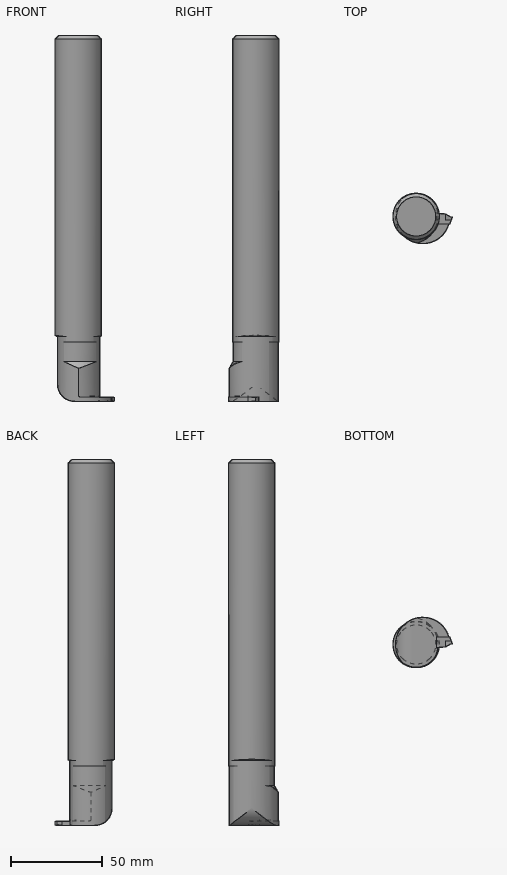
import cadquery as cq
import math

total_length = 200.0
shank_radius = 25.5 / 2
end_chamfer = 2.0

head_radius = 27.6 - shank_radius
outer_center_x = 3.6
post_center_x = -3.0
neck_height = 35.5
runout_height = 0.8
runout_angle = 60.0

core_radius = 12.5
core_top = 32.5
shelf_height = 21.8
shelf_drop = 3.8
shelf_outer_radius = 14.6

flange_thickness = 2.5
heel_radius = 9.5
root_fillet = 0.6
root_angle = math.radians(45)
insert_seat_x = 11.0
insert_back_y = -4.2
insert_front_y = 1.8
insert_shoulder_x = 16.0
insert_shoulder_y = 1.5
insert_mid_x = 17.8
insert_mid_y = 0.5
tip_x = -shank_radius + 32.6
tip_y = -0.2
tip_land_x = 18.8
heel_clearance_x = 18.5
relief_back_y = -2.0
relief_depth = 0.3


def disc(radius, bottom, top, center_x=0.0):
    """Vertical cylinder between two heights."""
    return cq.Workplane("XY", origin=(center_x, 0, bottom)).circle(radius).extrude(top - bottom)


def lens_wire(bottom):
    """Closed outline of the area shared by the two head circles."""
    corner_x = (outer_center_x + post_center_x) / 2
    half_spacing = (outer_center_x - post_center_x) / 2
    corner_y = math.sqrt(head_radius**2 - half_spacing**2)
    return (
        cq.Workplane("XY", origin=(0, 0, bottom))
        .moveTo(corner_x, -corner_y)
        .threePointArc((post_center_x + head_radius, 0), (corner_x, corner_y))
        .threePointArc((outer_center_x - head_radius, 0), (corner_x, -corner_y))
        .close()
    )


def make_shank():
    shank = disc(shank_radius, core_top, total_length).faces(">Z").chamfer(end_chamfer)
    core = disc(core_radius, 0, core_top)
    envelope = lens_wire(0).extrude(neck_height)
    runout = lens_wire(neck_height).extrude(runout_height, taper=-runout_angle)
    upper = disc(2 * head_radius, neck_height + runout_height, total_length)
    return shank.union(core).intersect(envelope.union(runout).union(upper))


def make_front_bulge():
    """Lower front of the head, topped by a shelf that slopes away from the core."""
    slope = shelf_drop / (shelf_outer_radius - core_radius)
    shelf_end = shelf_height - slope * (head_radius - core_radius)
    front_profile = (
        cq.Workplane("XZ")
        .lineTo(0, shelf_height)
        .lineTo(core_radius, shelf_height)
        .lineTo(head_radius, shelf_end)
        .lineTo(head_radius, 0)
        .close()
        .revolve(180, (0, 0), (0, -1))
    )
    return lens_wire(0).extrude(shelf_height).intersect(front_profile)


def make_flange():
    """Curved tail that supports the insert."""
    return (
        disc(head_radius, 0, flange_thickness, outer_center_x)
        .intersect(
            cq.Workplane("XY")
            .box(4 * head_radius, 2 * head_radius, 2 * flange_thickness, centered=(True, False, True))
            .translate((0, insert_back_y - 2 * head_radius, 0))
        )
    )


def heel_cutter():
    """Waste outside the rounded lower edge on the -X side."""
    left = outer_center_x - head_radius
    middle = heel_radius * (1 - math.sqrt(0.5))
    return (
        cq.Workplane("XZ")
        .moveTo(left, 0)
        .lineTo(left, heel_radius)
        .threePointArc((left + middle, middle), (left + heel_radius, 0))
        .close()
        .extrude(2 * head_radius, both=True)
    )


def insert_blank():
    return (
        cq.Workplane("XY")
        .moveTo(insert_seat_x, insert_back_y)
        .lineTo(heel_clearance_x, insert_back_y)
        .lineTo(tip_x, tip_y)
        .lineTo(tip_land_x, tip_y)
        .threePointArc((insert_mid_x, insert_mid_y), (insert_shoulder_x, insert_shoulder_y))
        .lineTo(insert_seat_x, insert_front_y)
        .close()
        .extrude(flange_thickness)
    )


def relief_cutter():
    """Wedge that thins the top of the insert behind its cutting edge."""
    return (
        cq.Workplane("YZ", origin=(insert_shoulder_x, 0, flange_thickness))
        .moveTo(insert_shoulder_y, 0)
        .lineTo(relief_back_y, -relief_depth)
        .lineTo(relief_back_y, 0)
        .close()
        .extrude(tip_x - insert_shoulder_x)
    )


def make_holder():
    body = make_shank().union(make_front_bulge()).union(make_flange())
    root_point = (post_center_x + head_radius * math.cos(root_angle),
                  -head_radius * math.sin(root_angle), flange_thickness)
    body = body.edges(cq.selectors.NearestToPointSelector(root_point)).fillet(root_fillet)
    return body.cut(heel_cutter()).cut(insert_blank())


def make_insert():
    top_relief = relief_cutter()
    bottom_relief = top_relief.mirror("XY", (0, 0, flange_thickness / 2))
    return insert_blank().cut(top_relief).cut(bottom_relief)


holder = make_holder()
insert = make_insert()

result = cq.Compound.makeCompound([holder.val(), insert.val()])